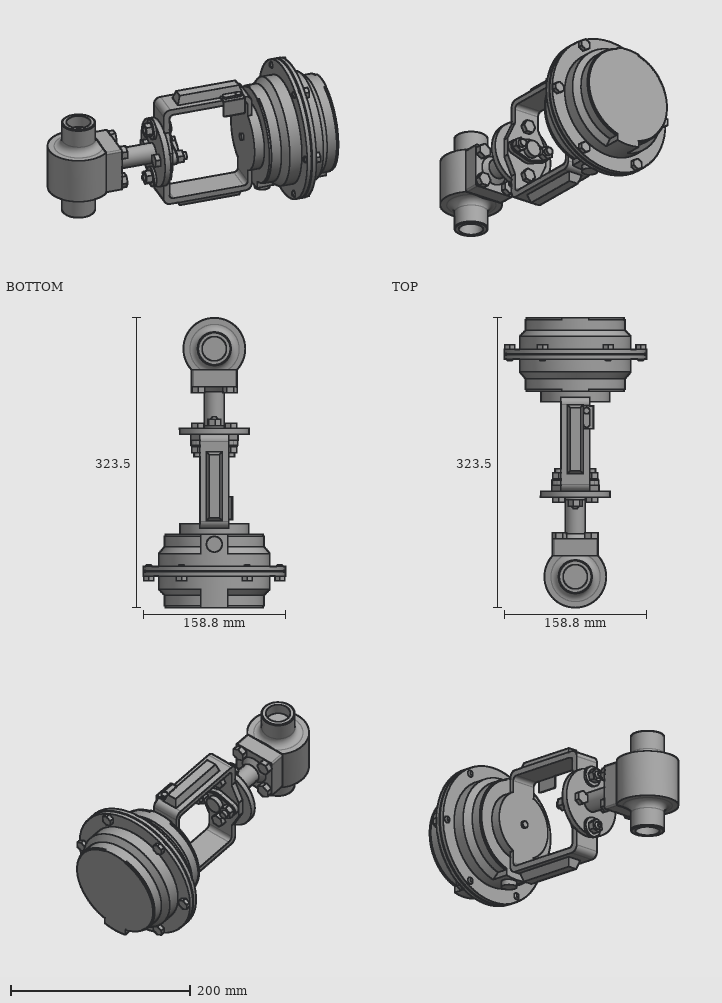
import cadquery as cq
import math


BODY_R = 34.5
BODY_HALF = 26.2
BODY_FLAT_Y = 23.5
PIPE_R = 18.8
PIPE_END = 56.3
PIPE_CHAMFER = 1.0
NECK_R = 8.7
BORE_R = 13.5
BORE_DEPTH = 13.5

BONNET_TOP = 42.5
BONNET_HALF = 25.5
BONNET_ROUND = 2.0
BONNET_BOLT_POS = 17.8
BONNET_BOLT_R = 8.0
BONNET_BOLT_HEIGHT = 6.8
TUBE_R = 11.3
TUBE_FOOT = 5.5

DISK_BOTTOM = 88.5
DISK_R = 38.8
YOKE_BOTTOM = 95.5
YOKE_FLOOR = 102.2
YOKE_CEILING = 195.0
YOKE_TOP = 200.0
YOKE_HALF_WIDTH = 16.2
YOKE_OUTER_Z = 60.2
YOKE_INNER_Z = 53.5
YOKE_OUTER_ROUND = 7.8
YOKE_INNER_ROUND = 5.0
HUB_R = 38.5

FLARE_X = 26.5
FLARE_INNER_Z = 10.5
FLARE_OUTER_Z = 31.7

PAD_CENTRE_Y = 153.3
PAD_BASE = (18.0, 77.0)
PAD_CREST = (11.5, 70.5)
PAD_HEIGHT = 10.0

SCREW_HEX_R = 7.8
HEAD_HEIGHT = 5.8
NUT_HEIGHT = 7.0
SHANK_R = 4.2
TIP_LENGTH = 2.5
CLAMP_POS = 30.0
UPPER_NUT_TURN = -11
LOWER_HEAD_TURN = 10
LOWER_NUT_TURN = -22
CLAMP_WASHER_R = 11.3
CLAMP_WASHER_THICK = 3.0
GLAND_POS = 18.5
GLAND_MID_R = 13.5
GLAND_END_R = 7.8
GLAND_THICK = 6.8
GLAND_BEVEL = 1.3
GLAND_STUD_END = 120.5
PACKING_R = 9.5
PACKING_HEIGHT = 6.0

CASE_BOTTOM = 206.7
CASE_TOP = 289.0
CASE_R = 55.5
CASE_BULGE_R = 62.0
CASE_RIM = 14.0
LOWER_CONE = 7.8
UPPER_CONE = 6.8
LIP_R = 54.7
LIP_HEIGHT = 2.3
FLANGE_D = 158.8
FLANGE_R = FLANGE_D / 2
FLANGE_BOTTOM = 242.5
FLANGE_TOP = 253.5
FLANGE_GAP = 1.3
GASKET_R = 73.8
RIB_HALF_WIDTH = 15.0
PORT_Y = 218.0
PORT_R = 8.7
PORT_END = 68.0

FLANGE_BOLTS = 6
FLANGE_BOLT_CIRCLE = 73.0
FLANGE_BOLT_HEX_R = 6.5
FLANGE_BOLT_HEAD = 5.2
FLANGE_BOLT_SHANK_R = 4.0
FLANGE_BOLT_TIP = 2.0

STEM_R = 4.0
STEM_END = 192.5

BRACKET_Y = (165.0, 190.5)
BRACKET_X = (8.5, 20.5)
BRACKET_BOTTOM = 41.5
BRACKET_SHEET = 1.3
BRACKET_ROUND = 2.0
KEY_X = 12.5
KEY_WIDTH = 7.0
KEY_LENGTH = 22.0
KEY_HEIGHT = 2.3
KEY_DISC_EXTRA = 0.3


def rod(y_start, y_end, radius, x=0, z=0):
    """Cylinder along Y."""
    plane = cq.Workplane("XZ", origin=(x, y_start, z))
    return plane.circle(radius).extrude(y_start - y_end)


def hexagon(y_start, y_end, corner_r, x=0, z=0, turn=0):
    """Hexagonal prism along Y; turn is the angle of one corner from X."""
    plane = cq.Workplane("XZ", origin=(x, y_start, z)).transformed(rotate=(0, 0, turn))
    return plane.polygon(6, 2 * corner_r).extrude(y_start - y_end)


def tip(y_root, length, radius, x=0, z=0):
    """Tapered screw end pointing to -Y, narrowing to half its radius."""
    end = cq.Solid.makeCone(
        radius, radius / 2, length, pnt=cq.Vector(x, y_root, z), dir=cq.Vector(0, -1, 0)
    )
    return cq.Workplane(end)


def block(x_range, y_range, z_range):
    """Box between the given limits."""
    limits = (x_range, y_range, z_range)
    size = [high - low for low, high in limits]
    low_corner = [low for low, high in limits]
    return cq.Workplane("XY").box(*size, centered=False).translate(tuple(low_corner))


def union(shapes):
    """All shapes joined into one."""
    total = shapes[0]
    for shape in shapes[1:]:
        total = total.union(shape)
    return total


def valve_body():
    """Drum with a coved neck and a bored pipe stub on each end, cut flat under the bonnet."""
    cove_mid = NECK_R * (1 - math.sqrt(0.5))
    stub = (
        cq.Workplane("XZ")
        .lineTo(BODY_R, 0)
        .lineTo(BODY_R, BODY_HALF)
        .lineTo(PIPE_R + NECK_R, BODY_HALF)
        .threePointArc((PIPE_R + cove_mid, BODY_HALF + cove_mid), (PIPE_R, BODY_HALF + NECK_R))
        .lineTo(PIPE_R, PIPE_END - PIPE_CHAMFER)
        .lineTo(PIPE_R - PIPE_CHAMFER, PIPE_END)
        .lineTo(BORE_R, PIPE_END)
        .lineTo(BORE_R, PIPE_END - BORE_DEPTH)
        .lineTo(0, PIPE_END - BORE_DEPTH)
        .close()
        .revolve(360, (0, 0, 0), (0, 1, 0))
    )
    drum = stub.union(stub.mirror("XY"))
    side = (-BODY_R, BODY_R)
    return drum.cut(block(side, (BODY_FLAT_Y, BODY_R), side))


def bonnet():
    """Square block with four corner bolts and the tube rising to the disk."""
    side = (-BONNET_HALF, BONNET_HALF)
    base = block(side, (BODY_FLAT_Y, BONNET_TOP), side).edges("|Y").fillet(BONNET_ROUND)
    tube = rod(BONNET_TOP, DISK_BOTTOM, TUBE_R)
    foot = cq.Workplane(
        cq.Solid.makeCone(
            TUBE_R + TUBE_FOOT, TUBE_R, TUBE_FOOT,
            pnt=cq.Vector(0, BONNET_TOP, 0), dir=cq.Vector(0, 1, 0),
        )
    )
    parts = [base, tube, foot]
    for sx in (-1, 1):
        for sz in (-1, 1):
            turn = 0 if sx * sz < 0 else 90
            parts.append(
                hexagon(
                    BONNET_TOP, BONNET_TOP + BONNET_BOLT_HEIGHT, BONNET_BOLT_R,
                    sx * BONNET_BOLT_POS, sz * BONNET_BOLT_POS, turn,
                )
            )
    return union(parts)


def yoke_pad():
    """Tapered pad on the outside of the +Z arm."""
    return (
        cq.Workplane("XY", origin=(0, PAD_CENTRE_Y, YOKE_OUTER_Z))
        .rect(*PAD_BASE)
        .workplane(offset=PAD_HEIGHT)
        .rect(*PAD_CREST)
        .loft(ruled=True)
    )


def yoke():
    """Rectangular frame with rounded corners, a flared floor and two pads."""
    width = (-YOKE_HALF_WIDTH, YOKE_HALF_WIDTH)
    outer = block(width, (YOKE_BOTTOM, YOKE_TOP), (-YOKE_OUTER_Z, YOKE_OUTER_Z))
    inner = block(width, (YOKE_FLOOR, YOKE_CEILING), (-YOKE_INNER_Z, YOKE_INNER_Z))
    outer = outer.edges("|X").fillet(YOKE_OUTER_ROUND)
    inner = inner.edges("|X").fillet(YOKE_INNER_ROUND)
    flare = (
        cq.Workplane("XZ", origin=(0, YOKE_BOTTOM, 0))
        .polyline([
            (YOKE_HALF_WIDTH, FLARE_OUTER_Z),
            (FLARE_X, FLARE_INNER_Z),
            (FLARE_X, -FLARE_INNER_Z),
            (YOKE_HALF_WIDTH, -FLARE_OUTER_Z),
            (-YOKE_HALF_WIDTH, -FLARE_OUTER_Z),
            (-FLARE_X, -FLARE_INNER_Z),
            (-FLARE_X, FLARE_INNER_Z),
            (-YOKE_HALF_WIDTH, FLARE_OUTER_Z),
        ])
        .close()
        .extrude(YOKE_BOTTOM - YOKE_FLOOR)
    )
    pad = yoke_pad()
    return union([outer.cut(inner), flare, pad, pad.mirror("XY")])


def clamp_bolt(z, head_turn, nut_turn):
    """Bolt that holds the yoke floor to the disk, with washer and nut below."""
    washer_bottom = DISK_BOTTOM - CLAMP_WASHER_THICK
    nut_bottom = washer_bottom - NUT_HEIGHT
    return union([
        hexagon(YOKE_FLOOR, YOKE_FLOOR + HEAD_HEIGHT, SCREW_HEX_R, z=z, turn=head_turn),
        rod(washer_bottom, DISK_BOTTOM, CLAMP_WASHER_R, z=z),
        hexagon(nut_bottom, washer_bottom, SCREW_HEX_R, z=z, turn=nut_turn),
        tip(nut_bottom, TIP_LENGTH, SHANK_R, z=z),
    ])


def gland():
    """Oval packing gland with a central sleeve and two studs through the floor."""
    top = YOKE_FLOOR + GLAND_THICK
    slope = (GLAND_MID_R - GLAND_END_R) / GLAND_POS
    rise = math.sqrt(1 - slope ** 2)
    mid = (GLAND_MID_R * slope, GLAND_MID_R * rise)
    end = (GLAND_POS + GLAND_END_R * slope, GLAND_END_R * rise)
    flange = (
        cq.Workplane("XZ", origin=(0, YOKE_FLOOR, 0))
        .moveTo(-mid[0], mid[1])
        .threePointArc((0, GLAND_MID_R), mid)
        .lineTo(*end)
        .threePointArc((GLAND_POS + GLAND_END_R, 0), (end[0], -end[1]))
        .lineTo(mid[0], -mid[1])
        .threePointArc((0, -GLAND_MID_R), (-mid[0], -mid[1]))
        .lineTo(-end[0], -end[1])
        .threePointArc((-GLAND_POS - GLAND_END_R, 0), (-end[0], end[1]))
        .close()
        .extrude(-GLAND_THICK)
        .faces(">Y")
        .chamfer(GLAND_BEVEL)
    )
    parts = [flange, rod(top, top + PACKING_HEIGHT, PACKING_R)]
    for x in (-GLAND_POS, GLAND_POS):
        parts += [
            hexagon(DISK_BOTTOM - HEAD_HEIGHT, DISK_BOTTOM, SCREW_HEX_R, x, turn=90),
            hexagon(top, top + NUT_HEIGHT, SCREW_HEX_R, x, turn=90),
            rod(top, GLAND_STUD_END, SHANK_R, x),
        ]
    return union(parts)


def bracket():
    """Thin angle on the +Z arm carrying a raised oblong key."""
    x_start, x_end = BRACKET_X
    top = YOKE_OUTER_Z + BRACKET_SHEET
    sheet = block(BRACKET_X, BRACKET_Y, (YOKE_OUTER_Z, top))
    leg = block((x_end - BRACKET_SHEET, x_end), BRACKET_Y, (BRACKET_BOTTOM, top))
    leg = leg.edges("|X and <Z").fillet(BRACKET_ROUND)
    angle = sheet.union(leg).edges("|Y and >X and >Z").fillet(BRACKET_SHEET)
    centre_y = sum(BRACKET_Y) / 2
    key_plane = cq.Workplane("XY", origin=(KEY_X, centre_y, top))
    key = key_plane.slot2D(KEY_LENGTH, KEY_WIDTH, 90).extrude(KEY_HEIGHT)
    disc = (
        key_plane.center(0, (KEY_LENGTH - KEY_WIDTH) / 2)
        .circle(KEY_WIDTH / 2)
        .extrude(KEY_HEIGHT + KEY_DISC_EXTRA)
    )
    return union([angle, key, disc])


def casing():
    """Turned casing: reduced lips, straight rims, cones, bulge and split flange."""
    gap_bottom = (FLANGE_BOTTOM + FLANGE_TOP - FLANGE_GAP) / 2
    gap_top = gap_bottom + FLANGE_GAP
    lower_cone_start = CASE_BOTTOM + CASE_RIM
    upper_cone_start = CASE_TOP - CASE_RIM
    return (
        cq.Workplane("XY")
        .polyline([
            (0, CASE_BOTTOM),
            (LIP_R, CASE_BOTTOM),
            (LIP_R, CASE_BOTTOM + LIP_HEIGHT),
            (CASE_R, CASE_BOTTOM + LIP_HEIGHT),
            (CASE_R, lower_cone_start),
            (CASE_BULGE_R, lower_cone_start + LOWER_CONE),
            (CASE_BULGE_R, FLANGE_BOTTOM),
            (FLANGE_R, FLANGE_BOTTOM),
            (FLANGE_R, gap_bottom),
            (GASKET_R, gap_bottom),
            (GASKET_R, gap_top),
            (FLANGE_R, gap_top),
            (FLANGE_R, FLANGE_TOP),
            (CASE_BULGE_R, FLANGE_TOP),
            (CASE_BULGE_R, upper_cone_start - UPPER_CONE),
            (CASE_R, upper_cone_start),
            (CASE_R, CASE_TOP - LIP_HEIGHT),
            (LIP_R, CASE_TOP - LIP_HEIGHT),
            (LIP_R, CASE_TOP),
            (0, CASE_TOP),
        ])
        .close()
        .revolve(360, (0, 0, 0), (0, 1, 0))
    )


def casing_rib(radius, z_range):
    """Full-length rib, rounded to the given radius, on one side of the casing."""
    slab = block((-RIB_HALF_WIDTH, RIB_HALF_WIDTH), (CASE_BOTTOM, CASE_TOP), z_range)
    return slab.intersect(rod(CASE_BOTTOM, CASE_TOP, radius))


def flange_bolt(angle):
    """Flange bolt with its head above the flange and a tapered end below."""
    x = FLANGE_BOLT_CIRCLE * math.cos(math.radians(angle))
    z = FLANGE_BOLT_CIRCLE * math.sin(math.radians(angle))
    head = hexagon(FLANGE_TOP, FLANGE_TOP + FLANGE_BOLT_HEAD, FLANGE_BOLT_HEX_R, x, z, 90)
    shank = rod(FLANGE_BOTTOM, FLANGE_TOP, FLANGE_BOLT_SHANK_R, x, z)
    return union([head, shank, tip(FLANGE_BOTTOM, FLANGE_BOLT_TIP, FLANGE_BOLT_SHANK_R, x, z)])


def actuator():
    """Casing with ribs, air port, flange bolts, hub and stem end."""
    port = cq.Workplane("XY", origin=(0, PORT_Y, -PORT_END)).circle(PORT_R).extrude(PORT_END)
    parts = [
        casing(),
        casing_rib(CASE_R, (0, CASE_R)),
        casing_rib(CASE_BULGE_R, (-CASE_BULGE_R, 0)),
        port,
        rod(YOKE_CEILING, CASE_BOTTOM, HUB_R),
        rod(STEM_END, YOKE_CEILING, STEM_R),
    ]
    parts += [flange_bolt(i * 360 / FLANGE_BOLTS) for i in range(FLANGE_BOLTS)]
    return union(parts)


result = union([
    valve_body(),
    bonnet(),
    rod(DISK_BOTTOM, YOKE_BOTTOM, DISK_R),
    yoke(),
    clamp_bolt(CLAMP_POS, 0, UPPER_NUT_TURN),
    clamp_bolt(-CLAMP_POS, LOWER_HEAD_TURN, LOWER_NUT_TURN),
    gland(),
    bracket(),
    actuator(),
])